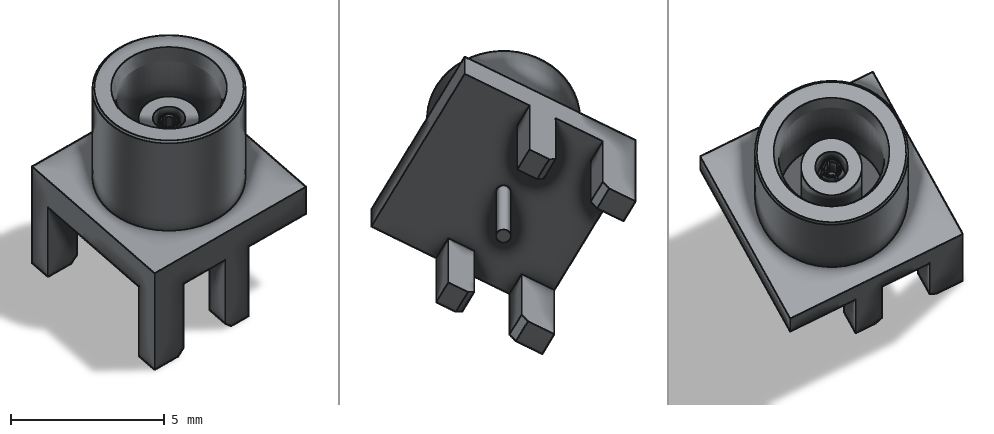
import cadquery as cq

BASE_SIDE = 6.35
TOTAL_HEIGHT = 8.53

LEG_LENGTH = 3.2
PLATE_THICKNESS = 1.245
LEG_WIDTH_X = 0.83
FRONT_LEG_DEPTH = 1.22
REAR_LEG_DEPTH = 0.97
LEG_GAP = 1.75
LEG_CHAMFER_RUN = 0.24
LEG_CHAMFER_RISE = 0.26

BARREL_DIAMETER = 5.0
BARREL_CHAMFER = 0.07
BORE_MOUTH_DIAMETER = 3.77
BORE_DIAMETER = 3.45
BORE_TAPER_DEPTH = 0.49

INSULATOR_DIAMETER = 1.98
INSULATOR_SETBACK = 1.39
RECESS_DIAMETER = 1.05
RECESS_DEPTH = 1.365

CONTACT_TIP_DIAMETER = 0.68
CONTACT_SETBACK = 0.12
CONTACT_BORE_DIAMETER = 0.46
CONTACT_MOUTH_DIAMETER = 0.58
CONTACT_MOUTH_DEPTH = 0.06
SLOT_WIDTH = 0.09
SLOT_DEPTH = 0.77
CONTACT_BORE_DEPTH = 0.98

PIN_DIAMETER = 0.48

plate_top = LEG_LENGTH + PLATE_THICKNESS
insulator_top = TOTAL_HEIGHT - INSULATOR_SETBACK
recess_floor = insulator_top - RECESS_DEPTH
contact_top = insulator_top - CONTACT_SETBACK
slot_floor = contact_top - SLOT_DEPTH
contact_bore_floor = contact_top - CONTACT_BORE_DEPTH


def cylinder(diameter, bottom, top):
    """Vertical cylinder on the central axis."""
    return cq.Workplane("XY").workplane(offset=bottom).circle(diameter / 2).extrude(top - bottom)


def cone(bottom_diameter, top_diameter, bottom, top):
    """Vertical truncated cone on the central axis."""
    solid = cq.Solid.makeCone(
        bottom_diameter / 2, top_diameter / 2, top - bottom, pnt=cq.Vector(0, 0, bottom)
    )
    return cq.Workplane(solid)


def make_leg_pair(outline):
    """Extrude a YZ leg outline along both X edges of the base."""
    left = cq.Workplane("YZ").workplane(offset=-BASE_SIDE / 2).polyline(outline).close()
    left = left.extrude(LEG_WIDTH_X)
    return left.union(left.mirror("YZ"))


def make_base():
    """Square plate on four legs, chamfered at the tips where front and rear legs face each other."""
    plate = cq.Workplane("XY").workplane(offset=LEG_LENGTH)
    plate = plate.rect(BASE_SIDE, BASE_SIDE).extrude(PLATE_THICKNESS)

    front_outer = -BASE_SIDE / 2
    front_inner = front_outer + FRONT_LEG_DEPTH
    rear_inner = front_inner + LEG_GAP
    rear_outer = rear_inner + REAR_LEG_DEPTH

    base = plate
    for outer, inner, chamfer_end in (
        (front_outer, front_inner, front_inner - LEG_CHAMFER_RUN),
        (rear_outer, rear_inner, rear_inner + LEG_CHAMFER_RUN),
    ):
        outline = [
            (outer, LEG_LENGTH),
            (outer, 0),
            (chamfer_end, 0),
            (inner, LEG_CHAMFER_RISE),
            (inner, LEG_LENGTH),
        ]
        base = base.union(make_leg_pair(outline))
    return base


def make_barrel():
    """Round shell with a chamfered rim and a tapered mouth leading into the bore."""
    barrel = cylinder(BARREL_DIAMETER, plate_top, TOTAL_HEIGHT)
    barrel = barrel.faces(">Z").edges().chamfer(BARREL_CHAMFER)
    taper_bottom = TOTAL_HEIGHT - BORE_TAPER_DEPTH
    barrel = barrel.cut(cylinder(BORE_DIAMETER, plate_top, TOTAL_HEIGHT))
    return barrel.cut(cone(BORE_DIAMETER, BORE_MOUTH_DIAMETER, taper_bottom, TOTAL_HEIGHT))


def make_insulator():
    """Post rising from the bore floor, with a blind central recess."""
    post = cylinder(INSULATOR_DIAMETER, plate_top, insulator_top)
    return post.cut(cylinder(RECESS_DIAMETER, recess_floor, insulator_top))


def make_contact():
    """Tapered sleeve split by two crossing slots, with a countersunk bore."""
    contact = cone(RECESS_DIAMETER, CONTACT_TIP_DIAMETER, recess_floor, contact_top)
    contact = contact.cut(cylinder(CONTACT_BORE_DIAMETER, contact_bore_floor, contact_top))
    mouth_bottom = contact_top - CONTACT_MOUTH_DEPTH
    contact = contact.cut(
        cone(CONTACT_BORE_DIAMETER, CONTACT_MOUTH_DIAMETER, mouth_bottom, contact_top)
    )
    for length_x, length_y in ((RECESS_DIAMETER, SLOT_WIDTH), (SLOT_WIDTH, RECESS_DIAMETER)):
        slot = cq.Workplane("XY").workplane(offset=slot_floor)
        contact = contact.cut(slot.rect(length_x, length_y).extrude(SLOT_DEPTH))
    return contact


pin = cylinder(PIN_DIAMETER, 0, LEG_LENGTH)

result = make_base().union(make_barrel()).union(make_insulator()).union(make_contact()).union(pin)